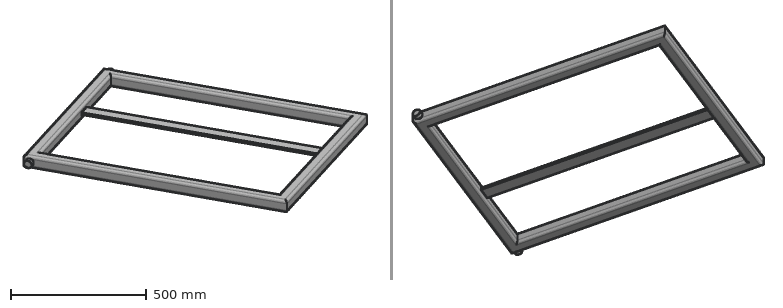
import cadquery as cq

frame_length = 1050.0
frame_width = 800.0
bar_size = 50.0
bar_edge_radius = 12.0

crossbar_width = 50.0
crossbar_thickness = 10.0
crossbar_center_y = 80.0
crossbar_center_z = 0.0

pin_diameter = 30.0
overall_width = 840.0
pin_length = (overall_width - frame_width) / 2
front_pin_inset = bar_size / 2
back_pin_inset = 20.0

opening_length = frame_length - 2 * bar_size
opening_width = frame_width - 2 * bar_size


def make_frame():
    """Rectangular ring with rounded long edges and sharp mitred corners."""
    outer = cq.Workplane("XY").box(frame_length, frame_width, bar_size)
    opening = cq.Workplane("XY").box(opening_length, opening_width, bar_size)
    return outer.cut(opening).faces("|Z").edges().fillet(bar_edge_radius)


def make_crossbar():
    """Flat strip that runs to the middle of the bars at both ends."""
    length = opening_length + bar_size
    strip = cq.Workplane("XY").box(length, crossbar_width, crossbar_thickness)
    return strip.translate((0, crossbar_center_y, crossbar_center_z))


def make_pin(inset, side):
    """Round pin on the long side facing +Y (side = 1) or -Y (side = -1)."""
    root = cq.Vector(inset - frame_length / 2, side * (frame_width - bar_size) / 2, 0)
    length = pin_length + bar_size / 2
    return cq.Workplane(cq.Solid.makeCylinder(pin_diameter / 2, length, root, cq.Vector(0, side, 0)))


result = make_frame().union(make_crossbar())
for inset, side in ((front_pin_inset, -1), (back_pin_inset, 1)):
    result = result.union(make_pin(inset, side))